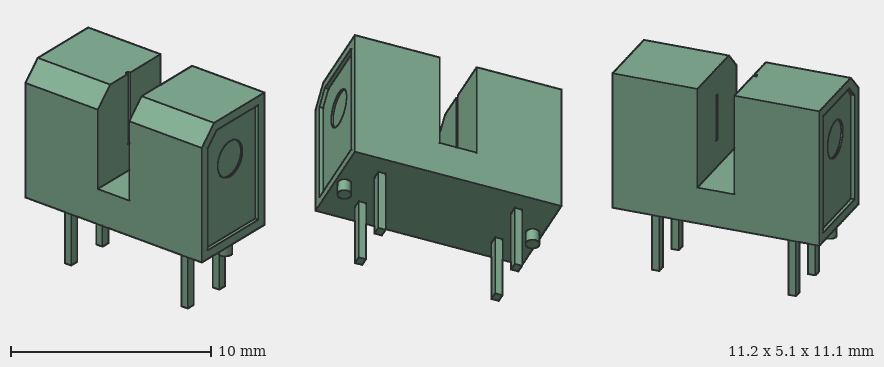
import cadquery as cq


body_length = 11.2
body_width = 5.1
body_height = 7.5
edge_chamfer = 1.0
gap_width = 2.0
gap_floor_height = 2.0
frame_wall = 0.5

insert_recess = 0.2
insert_length = (body_length - gap_width) / 2 - frame_wall - insert_recess

axis_height = 4.75
pocket_diameter = 2.0
pocket_depth = 0.1

window_width = 0.2
window_height = 2.5
groove_width = 0.15
groove_depth = 0.15

peg_diameter = 0.7
peg_length = 0.7
peg_spacing = 10.2

lead_size_x = 0.4
lead_size_y = 0.5
lead_length = 3.6
lead_spacing_x = 7.4
lead_spacing_y = 2.54

gap_half = gap_width / 2
outer_face = body_length / 2
insert_outer_face = outer_face - insert_recess
insert_inner_face = gap_half + frame_wall
window_bottom = axis_height - window_height / 2


def profile_prism(x_start, length, inset=0):
    """Chamfered YZ profile, moved inward by inset, extruded along +X from x_start."""
    half_width = body_width / 2
    profile = (
        cq.Workplane("YZ", origin=(x_start, 0, 0))
        .moveTo(-half_width, 0)
        .lineTo(half_width, 0)
        .lineTo(half_width, body_height)
        .lineTo(-half_width + edge_chamfer, body_height)
        .lineTo(-half_width, body_height - edge_chamfer)
        .close()
    )
    if inset > 0:
        profile = profile.offset2D(-inset)
    return profile.extrude(length)


def make_leads():
    """Four leads that pass through the housing floor and end at the inserts."""
    return (
        cq.Workplane("XY", origin=(0, 0, -lead_length))
        .rarray(lead_spacing_x, lead_spacing_y, 2, 2)
        .rect(lead_size_x, lead_size_y)
        .extrude(lead_length + frame_wall)
        .solids()
    )


def make_window():
    """Detector window: a narrow bar through the inner wall of the +X arm, flush with the gap."""
    return (
        cq.Workplane("YZ", origin=(gap_half, 0, axis_height))
        .rect(window_width, window_height)
        .extrude(frame_wall)
    )


def make_insert(x_start, pocket_start):
    """Insert from x_start along +X, with a round pocket from pocket_start along +X."""
    pocket = (
        cq.Workplane("YZ", origin=(pocket_start, 0, axis_height))
        .circle(pocket_diameter / 2)
        .extrude(pocket_depth)
    )
    return profile_prism(x_start, insert_length, frame_wall).cut(pocket).solids()


def make_housing(leads, window):
    """U-shaped housing with side cavities, a groove, two pegs and holes for leads and window."""
    housing = profile_prism(-outer_face, body_length)

    gap = (
        cq.Workplane("XY", origin=(0, 0, gap_floor_height))
        .rect(gap_width, body_width)
        .extrude(body_height - gap_floor_height)
    )
    housing = housing.cut(gap)

    for cavity_start in (-outer_face, insert_inner_face):
        housing = housing.cut(profile_prism(cavity_start, insert_length + insert_recess, frame_wall))

    groove = (
        cq.Workplane("XY", origin=(-gap_half - groove_depth / 2, 0, window_bottom))
        .rect(groove_depth, groove_width)
        .extrude(body_height - window_bottom)
    )
    housing = housing.cut(groove)

    pegs = (
        cq.Workplane("XY", origin=(0, 0, -peg_length))
        .rarray(peg_spacing, 1, 2, 1)
        .circle(peg_diameter / 2)
        .extrude(peg_length)
    )
    return housing.union(pegs).cut(leads).cut(window).solids()


leads = make_leads()
window = make_window()
housing = make_housing(leads, window)
emitter_insert = make_insert(-insert_outer_face, -insert_outer_face)
detector_insert = make_insert(insert_inner_face, insert_outer_face - pocket_depth)

result = cq.Compound.makeCompound([
    housing.val(),
    emitter_insert.val(),
    detector_insert.val(),
    window.val(),
    *leads.vals(),
])